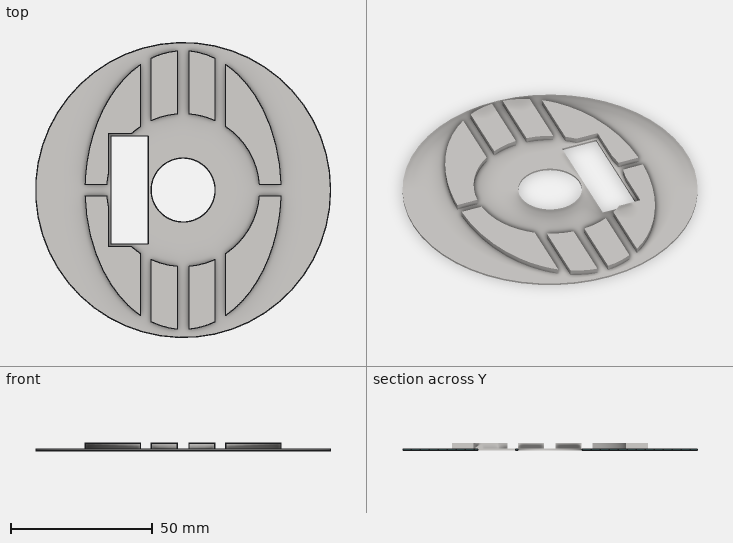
import cadquery as cq

disc_diameter = 104.0
disc_thickness = 0.7
bore_diameter = 22.5

total_height = 2.7
pad_height = total_height - disc_thickness
ellipse_x_radius = 34.5
ellipse_y_radius = 49.1
pad_inner_radius = 26.9
cross_channel_width = 4.1
side_channel_width = 3.7
side_channel_inner_x = bore_diameter / 2
side_channel_center_x = side_channel_inner_x + side_channel_width / 2

window_width = 13.0
window_length = 38.0
window_center_x = -18.8
window_clearance = 0.9


def make_disc():
    """Flat disc with a central bore."""
    return (
        cq.Workplane("XY")
        .circle(disc_diameter / 2)
        .circle(bore_diameter / 2)
        .extrude(disc_thickness)
    )


def pad_level_box(width, length, center_x=0):
    """Box as tall as the pads, resting on the disc and centred on the X axis."""
    return (
        cq.Workplane("XY", origin=(center_x, 0, disc_thickness))
        .rect(width, length)
        .extrude(pad_height)
    )


def make_pads():
    """Elliptical ring cut into eight pads and relieved around the window."""
    pads = (
        cq.Workplane("XY", origin=(0, 0, disc_thickness))
        .ellipse(ellipse_x_radius, ellipse_y_radius)
        .circle(pad_inner_radius)
        .extrude(pad_height)
    )
    pads = pads.cut(pad_level_box(disc_diameter, cross_channel_width))
    pads = pads.cut(pad_level_box(cross_channel_width, disc_diameter))
    for side in (-1, 1):
        pads = pads.cut(pad_level_box(side_channel_width, disc_diameter, side * side_channel_center_x))

    relief_width = window_width + 2 * window_clearance
    relief_length = window_length + 2 * window_clearance
    return pads.cut(pad_level_box(relief_width, relief_length, window_center_x))


def make_window():
    """Cutter for the rectangular opening through the disc."""
    return (
        cq.Workplane("XY", origin=(window_center_x, 0, 0))
        .rect(window_width, window_length)
        .extrude(disc_thickness)
    )


result = make_disc().cut(make_window()).union(make_pads())